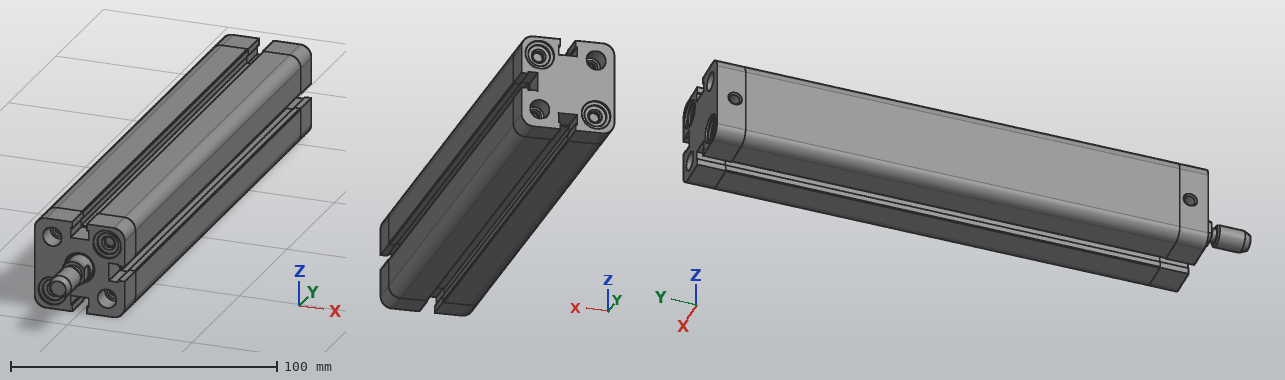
import cadquery as cq

total_length = 219.5
rod_protrusion = 22.6
body_length = total_length - rod_protrusion
body_side = 36.2
corner_radius = 4.6
cap_length = 11.5
tube_length = body_length - 2 * cap_length

slot_mouth_width = 6.0
slot_mouth_depth = 2.6
slot_width = 7.2
slot_depth_cap = 6.4
slot_depth_tube = 5.7
slot_rim_chamfer_tube = 0.33
slot_angles = (0, 90, 180)

hole_offset = 11.0
thread_hole_diameter = 4.2
thread_countersink_diameter = 5.5
thread_hole_depth = 2.2
plain_steps = [(7.5, 7.7)]
collar_steps = [(11.2, 0.9), (8.5, 1.8)]

port_from_end = 7.2
port_diameter = 4.2
port_countersink_diameter = 5.5
port_depth = 6.5

rod_diameter = 10.0
rod_recess_diameter = 11.0
rod_recess_chamfer = 0.55
rod_recess_depth = 1.0
collar_length = 6.5
collar_end_diameter = 9.7
collar_taper_length = 1.3
flat_start = 2.2
flat_width = 8.5
flat_height = 5.5
flat_corner_radius = 1.0
neck_shoulder_diameter = 7.0
neck_diameter = 5.3
neck_taper_length = 0.9
neck_end = 9.2
thread_shoulder_length = 0.7
thread_diameter = 8.5
thread_tip_diameter = 6.1
thread_chamfer_length = 2.6


def front_plane(y):
    """Sketch plane at a given y, local x = X, local y = Z, normal towards -Y."""
    return cq.Workplane("XZ", origin=(0, y, 0))


def slotted_block(y_front, length, slot_depth, rim_chamfer=0):
    """Rounded square bar with T-slots on three sides, from y_front towards +Y.

    A rim_chamfer above zero breaks the outer edges of the slot mouths.
    """
    bar = (
        front_plane(y_front)
        .rect(body_side, body_side)
        .extrude(-length)
        .edges("|Y")
        .fillet(corner_radius)
    )
    half_side = body_side / 2
    undercut_height = slot_depth - slot_mouth_depth
    for angle in slot_angles:
        mouth = (
            front_plane(y_front)
            .center(0, half_side - slot_mouth_depth / 2)
            .rect(slot_mouth_width, slot_mouth_depth)
            .extrude(-length)
        )
        undercut = (
            front_plane(y_front)
            .center(0, half_side - slot_mouth_depth - undercut_height / 2)
            .rect(slot_width, undercut_height)
            .extrude(-length)
        )
        slot = mouth.union(undercut)
        if rim_chamfer:
            rim = (
                front_plane(y_front)
                .moveTo(-slot_mouth_width / 2 - rim_chamfer, half_side)
                .lineTo(slot_mouth_width / 2 + rim_chamfer, half_side)
                .lineTo(slot_mouth_width / 2, half_side - rim_chamfer)
                .lineTo(-slot_mouth_width / 2, half_side - rim_chamfer)
                .close()
                .extrude(-length)
            )
            slot = slot.union(rim)
        slot = slot.rotate((0, 0, 0), (0, 1, 0), angle)
        bar = bar.cut(slot)
    return bar


def countersunk_hole(plane, hole_diameter, sink_diameter, depth):
    """Cutter for a hole with a 45 degree countersink, going along the plane's normal."""
    sink_depth = (sink_diameter - hole_diameter) / 2
    hole = plane.circle(hole_diameter / 2).extrude(depth)
    countersink = plane.circle(sink_diameter / 2).extrude(sink_depth, taper=45)
    return hole.union(countersink)


def fixing_hole(x, z, steps):
    """Cutter entering the face y = 0; steps are (diameter, depth) pairs, the deepest last."""
    floor_depth = steps[-1][1]
    floor_plane = cq.Workplane("XZ", origin=(x, floor_depth, z)).transformed(rotate=(180, 0, 0))
    cutter = countersunk_hole(
        floor_plane, thread_hole_diameter, thread_countersink_diameter, thread_hole_depth
    )
    for diameter, depth in steps:
        cutter = cutter.union(front_plane(0).center(x, z).circle(diameter / 2).extrude(-depth))
    return cutter


def cap():
    """End cap with its outer face at y = 0 and its body towards +Y."""
    block = slotted_block(0, cap_length, slot_depth_cap)
    for x in (-hole_offset, hole_offset):
        block = block.cut(fixing_hole(x, -x, plain_steps))
        block = block.cut(fixing_hole(x, x, collar_steps))
    port_plane = cq.Workplane("YZ", origin=(-body_side / 2, port_from_end, 0))
    port = countersunk_hole(port_plane, port_diameter, port_countersink_diameter, port_depth)
    return block.cut(port)


def front_cap():
    """Cap with the through bore for the rod and a wider, chamfered recess around it."""
    bore = front_plane(0).circle(rod_diameter / 2).extrude(-cap_length)
    recess = front_plane(0).circle(rod_recess_diameter / 2).extrude(-rod_recess_depth)
    rim = (
        front_plane(0)
        .circle(rod_recess_diameter / 2 + rod_recess_chamfer)
        .extrude(-rod_recess_chamfer, taper=45)
    )
    return cap().cut(bore).cut(recess).cut(rim)


def rear_cap():
    """Mirror image of the plain cap at the far end of the tube."""
    return cap().mirror("XZ").translate((0, body_length, 0))


def tube():
    """Profile tube between the two caps."""
    return slotted_block(cap_length, tube_length, slot_depth_tube, slot_rim_chamfer_tube)


def piston_rod():
    """Turned rod from inside the front cap to the threaded tip, with two wrench flats."""
    rod_radius = rod_diameter / 2
    neck_radius = neck_diameter / 2
    thread_radius = thread_diameter / 2
    shoulder_radius = neck_shoulder_diameter / 2
    profile = [
        (0, cap_length),
        (rod_radius, cap_length),
        (rod_radius, -collar_length + collar_taper_length),
        (collar_end_diameter / 2, -collar_length),
        (shoulder_radius, -collar_length),
        (neck_radius, -collar_length - neck_taper_length),
        (neck_radius, -neck_end),
        (shoulder_radius, -neck_end),
        (thread_radius, -neck_end - thread_shoulder_length),
        (thread_radius, -rod_protrusion + thread_chamfer_length),
        (thread_tip_diameter / 2, -rod_protrusion),
        (0, -rod_protrusion),
    ]
    rod = cq.Workplane("XY").polyline(profile).close().revolve(360, (0, 0, 0), (0, 1, 0))
    flat_length = collar_length - flat_start
    flat_middle = -flat_start - flat_length / 2
    for side in (-1, 1):
        waste = (
            cq.Workplane("XY")
            .box(rod_diameter, flat_length, flat_height)
            .edges("|X and >Y")
            .fillet(flat_corner_radius)
            .translate((side * (flat_width + rod_diameter) / 2, flat_middle, 0))
        )
        rod = rod.cut(waste)
    return rod


result = cq.Compound.makeCompound(
    [front_cap().val(), tube().val(), rear_cap().val(), piston_rod().val()]
)